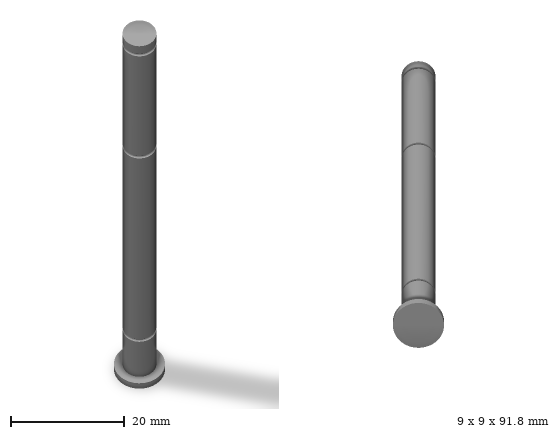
import cadquery as cq

total_length = 91.75
shaft_diameter = 6.0

head_diameter = 9.0
head_thickness = 1.5

groove_diameter = 5.0
groove_width = 0.7
groove_bottoms = (11.0, 61.1, 89.0)


def cylinder(diameter, bottom, height):
    """Solid cylinder on the Z axis."""
    return cq.Workplane("XY").workplane(offset=bottom).circle(diameter / 2).extrude(height)


def groove_ring(bottom):
    """Ring of material removed from the shaft to leave one groove."""
    outer = cylinder(shaft_diameter, bottom, groove_width)
    core = cylinder(groove_diameter, bottom, groove_width)
    return outer.cut(core)


head = cylinder(head_diameter, 0, head_thickness)
shaft = cylinder(shaft_diameter, head_thickness, total_length - head_thickness)
result = head.union(shaft)

for groove_bottom in groove_bottoms:
    result = result.cut(groove_ring(groove_bottom))